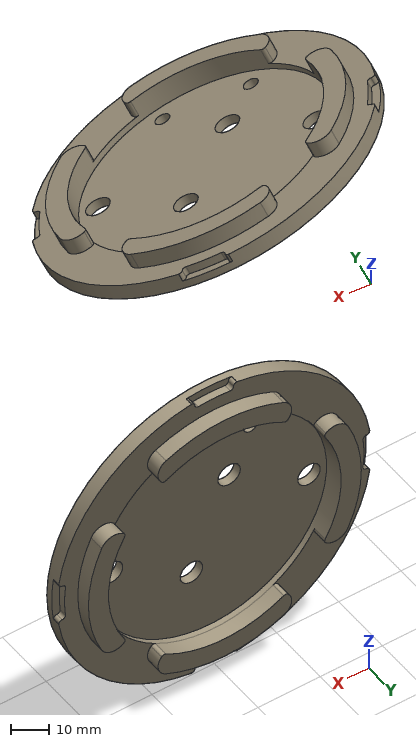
import cadquery as cq
import math

plate_radius = 50.5
plate_thickness = 4.8
overall_depth = 9.6

wall_outer_radius = 43.9
wall_inner_radius = 37.4
wall_outer_rounding = 4.5
wall_inner_rounding = 1.1
wall_half_angle = 25.5

recess_radius = wall_inner_radius
recess_depth = 1.8

notch_depth_y = 2.4
notch_floor_radius = 48.1
notch_floor_half_width = 5.2
notch_rounding = 1.06

hole_circle_radius = 31.7
large_hole_diameter = 7.2
small_hole_diameter = 4.3
small_hole_angle = 24.0
middle_hole_x = 6.1
middle_hole_z = 14.7

quarter_turns = (0, 90, 180, 270)


def polar(radius, angle):
    """Point at an angle in radians measured from +Z towards +X."""
    return radius * math.sin(angle), radius * math.cos(angle)


def mirrored(point):
    return -point[0], point[1]


def profile_plane(y):
    """Workplane with local axes X and Z, extruding towards +Y for negative lengths."""
    return cq.Workplane("XZ", origin=(0, y, 0))


def make_wall():
    """Arc-shaped wall at +Z, each end blended by a large outer and a small inner rounding."""
    outer_angle = math.radians(wall_half_angle)
    outer_centre_radius = wall_outer_radius - wall_outer_rounding
    inner_centre_radius = wall_inner_radius + wall_inner_rounding
    centre_distance = wall_outer_rounding - wall_inner_rounding

    angle_step = math.acos(
        (outer_centre_radius**2 + inner_centre_radius**2 - centre_distance**2)
        / (2 * outer_centre_radius * inner_centre_radius)
    )
    inner_angle = outer_angle + angle_step
    outer_centre = polar(outer_centre_radius, outer_angle)
    inner_centre = polar(inner_centre_radius, inner_angle)

    def on_rounding(centre, radius, direction):
        offset = polar(radius, direction)
        return centre[0] + offset[0], centre[1] + offset[1]

    blend_direction = math.atan2(inner_centre[0] - outer_centre[0], inner_centre[1] - outer_centre[1])
    inner_direction = inner_angle + math.pi
    outer_end = polar(wall_outer_radius, outer_angle)
    end_middle = on_rounding(outer_centre, wall_outer_rounding, (outer_angle + blend_direction) / 2)
    blend = on_rounding(outer_centre, wall_outer_rounding, blend_direction)
    tip_middle = on_rounding(inner_centre, wall_inner_rounding, (blend_direction + inner_direction) / 2)
    inner_end = polar(wall_inner_radius, inner_angle)

    return (
        profile_plane(plate_thickness)
        .moveTo(*mirrored(outer_end))
        .threePointArc((0, wall_outer_radius), outer_end)
        .threePointArc(end_middle, blend)
        .threePointArc(tip_middle, inner_end)
        .threePointArc((0, wall_inner_radius), mirrored(inner_end))
        .threePointArc(mirrored(tip_middle), mirrored(blend))
        .threePointArc(mirrored(end_middle), mirrored(outer_end))
        .close()
        .extrude(plate_thickness - overall_depth)
    )


def make_notch():
    """Cutter for the rim notch at +Z: concave then convex quarter rounds at each end."""
    diagonal = notch_rounding * math.sqrt(0.5)
    floor_z = math.sqrt(notch_floor_radius**2 - notch_floor_half_width**2)
    floor_end = (notch_floor_half_width, floor_z)
    step = (notch_floor_half_width + notch_rounding, floor_z + notch_rounding)
    lip = (step[0] + notch_rounding, step[1] + notch_rounding)
    concave_middle = (floor_end[0] + diagonal, step[1] - diagonal)
    convex_middle = (lip[0] - diagonal, step[1] + diagonal)
    clear_z = plate_radius + notch_rounding

    return (
        profile_plane(plate_thickness - notch_depth_y)
        .moveTo(*mirrored(floor_end))
        .threePointArc((0, notch_floor_radius), floor_end)
        .threePointArc(concave_middle, step)
        .threePointArc(convex_middle, lip)
        .lineTo(lip[0], clear_z)
        .lineTo(-lip[0], clear_z)
        .lineTo(*mirrored(lip))
        .threePointArc(mirrored(convex_middle), mirrored(step))
        .threePointArc(mirrored(concave_middle), mirrored(floor_end))
        .close()
        .extrude(-notch_depth_y)
    )


def make_holes(points, diameter):
    return profile_plane(0).pushPoints(points).circle(diameter / 2).extrude(-plate_thickness)


plate = profile_plane(0).circle(plate_radius).extrude(-plate_thickness)
recess = profile_plane(plate_thickness - recess_depth).circle(recess_radius).extrude(-recess_depth)
plate = plate.cut(recess)

wall = make_wall()
notch = make_notch()
for turn in quarter_turns:
    plate = plate.union(wall.rotate((0, 0, 0), (0, 1, 0), turn))
    plate = plate.cut(notch.rotate((0, 0, 0), (0, 1, 0), turn))

large_holes = [
    (-hole_circle_radius, 0),
    (hole_circle_radius, 0),
    (-middle_hole_x, middle_hole_z),
    (middle_hole_x, -middle_hole_z),
]
small_hole = polar(hole_circle_radius, math.radians(small_hole_angle))
small_holes = [small_hole, mirrored(small_hole)]

plate = plate.cut(make_holes(large_holes, large_hole_diameter))
result = plate.cut(make_holes(small_holes, small_hole_diameter))